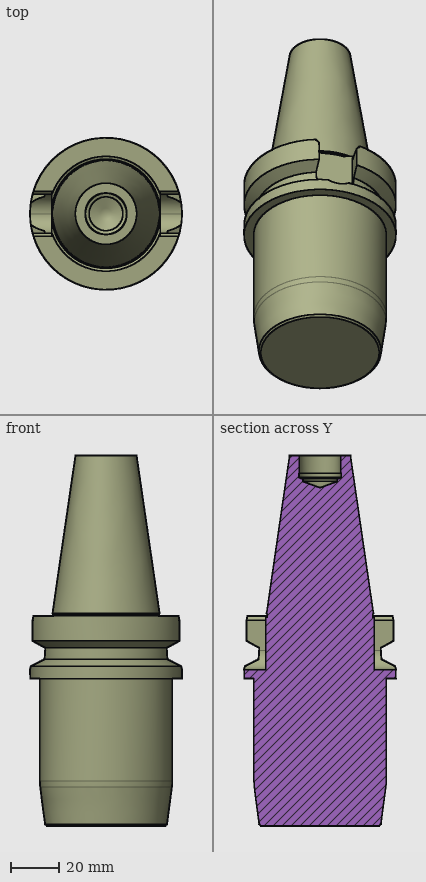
import cadquery as cq
import math


gauge_diameter = 44.45
taper_length = 65.4
taper_ratio = 7 / 24
taper_small_diameter = gauge_diameter - taper_length * taper_ratio

undercut_diameter = 43.85
undercut_entry_z = -0.4
undercut_floor_z = -1.5
undercut_floor_diameter = 45.2
recess_diameter = 47.6

flange_diameter = 62.98
flange_top_z = -1.0
flange_bottom_z = -27.0
groove_floor_diameter = 53.0
groove_center_z = -16.6
groove_floor_width = 4.7
groove_flank_angle = 30.0
groove_depth = (flange_diameter - groove_floor_diameter) / 2
groove_flank_height = groove_depth * math.tan(math.radians(groove_flank_angle))

body_diameter = 55.0
nose_z = -88.0
nose_diameter = 50.6
nose_chamfer = 0.8
nose_taper_z = -70.5
nose_blend_radius = 20.0

slot_width = 16.1
slot_floor_x = 22.5
slot_bottom_z = -23.2
slot_corner_radius = 8.0
slot_chamfer_width = 1.3
slot_chamfer_height = 1.8

bore_diameter = 17.01
bore_depth = 7.4
relief_diameter = 17.41
relief_length = 1.7
drill_diameter = 14.0
drill_straight_depth = 1.0
drill_point_angle = 140.0


def make_holder():
    """Revolved outer shape, from the small end of the taper down to the nose."""
    flange_radius = flange_diameter / 2
    groove_radius = groove_floor_diameter / 2
    groove_top_z = groove_center_z + groove_floor_width / 2
    groove_low_z = groove_center_z - groove_floor_width / 2
    outline = [
        (0, taper_length),
        (taper_small_diameter / 2, taper_length),
        (gauge_diameter / 2, 0),
        (undercut_diameter / 2, undercut_entry_z),
        (undercut_diameter / 2, undercut_floor_z),
        (undercut_floor_diameter / 2, undercut_floor_z),
        (recess_diameter / 2, flange_top_z),
        (flange_radius, flange_top_z),
        (flange_radius, groove_top_z + groove_flank_height),
        (groove_radius, groove_top_z),
        (groove_radius, groove_low_z),
        (flange_radius, groove_low_z - groove_flank_height),
        (flange_radius, flange_bottom_z),
        (body_diameter / 2, flange_bottom_z),
    ]
    nose_edge_z = nose_z + nose_chamfer
    nose_drop = nose_taper_z - nose_edge_z
    nose_step = (body_diameter - nose_diameter) / 2
    cone_angle = math.atan2(nose_step, nose_drop)
    blend_center_x = body_diameter / 2 - nose_blend_radius
    blend_start_z = nose_taper_z + nose_blend_radius * math.tan(cone_angle / 2)

    def blend_point(angle):
        return (
            blend_center_x + nose_blend_radius * math.cos(angle),
            blend_start_z - nose_blend_radius * math.sin(angle),
        )

    return (
        cq.Workplane("XZ")
        .polyline(outline)
        .lineTo(body_diameter / 2, blend_start_z)
        .threePointArc(blend_point(cone_angle / 2), blend_point(cone_angle))
        .lineTo(nose_diameter / 2, nose_edge_z)
        .lineTo(nose_diameter / 2 - nose_chamfer, nose_z)
        .lineTo(0, nose_z)
        .close()
        .revolve(360, (0, 0, 0), (0, 1, 0))
    )


def make_drive_slot():
    """Slot on the +X side with nearly half-round bottom corners and chamfered upper edges."""
    half_width = slot_width / 2
    arc_center_z = slot_bottom_z + slot_corner_radius
    half_flat = half_width - slot_corner_radius
    arc_offset = slot_corner_radius * math.sqrt(0.5)
    arc_mid_y = half_flat + arc_offset
    arc_mid_z = arc_center_z - arc_offset
    chamfer_z = flange_top_z - slot_chamfer_height
    return (
        cq.Workplane("YZ", origin=(slot_floor_x, 0, 0))
        .moveTo(-half_width, arc_center_z)
        .threePointArc((-arc_mid_y, arc_mid_z), (-half_flat, slot_bottom_z))
        .lineTo(half_flat, slot_bottom_z)
        .threePointArc((arc_mid_y, arc_mid_z), (half_width, arc_center_z))
        .lineTo(half_width, chamfer_z)
        .lineTo(half_width + slot_chamfer_width, flange_top_z)
        .lineTo(-half_width - slot_chamfer_width, flange_top_z)
        .lineTo(-half_width, chamfer_z)
        .close()
        .extrude(flange_diameter / 2)
    )


def make_bore():
    """Blind bore with a relief groove, a conical shoulder and a drill-point bottom."""
    point_slope = 1 / math.tan(math.radians(drill_point_angle / 2))
    relief_top_z = taper_length - bore_depth
    shoulder_z = relief_top_z - relief_length
    drill_top_z = shoulder_z - (relief_diameter - drill_diameter) / 2 * point_slope
    drill_floor_z = drill_top_z - drill_straight_depth
    outline = [
        (0, taper_length),
        (bore_diameter / 2, taper_length),
        (bore_diameter / 2, relief_top_z),
        (relief_diameter / 2, relief_top_z),
        (relief_diameter / 2, shoulder_z),
        (drill_diameter / 2, drill_top_z),
        (drill_diameter / 2, drill_floor_z),
        (0, drill_floor_z - drill_diameter / 2 * point_slope),
    ]
    return cq.Workplane("XZ").polyline(outline).close().revolve(360, (0, 0, 0), (0, 1, 0))


slot = make_drive_slot()
result = make_holder().cut(slot).cut(slot.mirror("YZ")).cut(make_bore())